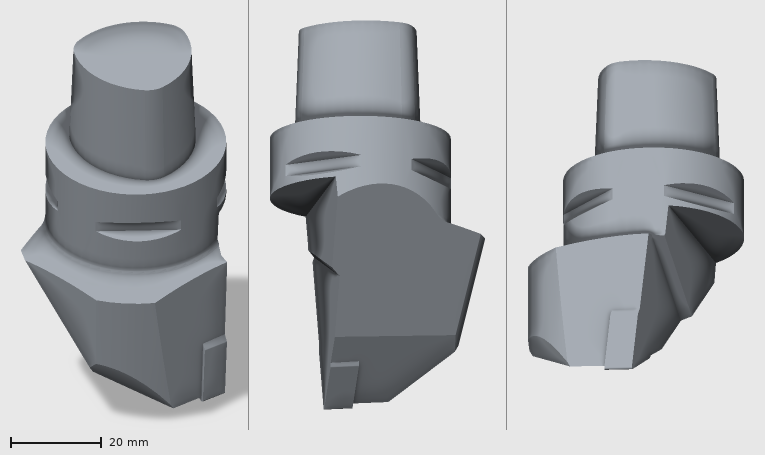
import cadquery as cq
import math


shank_height = 23.8
lobe_radius = 14.9
lobe_end_radius = 14.7
valley_radius = 13.1
lobe_half_angle = 8.5
shank_taper = 0.95

flange_radius = 20.0
flange_height = 20.0
neck_radius = 20.8
neck_z = -21.25
cone_slope = math.tan(math.radians(15))
head_radius = 28.75

groove_count = 4
groove_floor_distance = 17.6
groove_z = -10.2
groove_floor_half_height = 1.3
groove_mouth_half_height = 2.5

head_bottom_z = -59.25
front_y = -26.0
bevel_start_y = -24.0
back_point = (-flange_radius, 0, -15.25)
bevel_lean = 1.5
side_point = (24.6, 3.4, -22.3)
side_normal = (1, -0.1, 0.063)
flank_point = (8.2, 3.2, -43.45)
flank_normal = (-0.6, -0.03, -1)
facet_point = (12.2, front_y, -40.85)
facet_normal = (1, -2.1, -1)

tip = (27.0, -0.1, -55.5)
rake_normal = cq.Vector(0.12, 1, -0.093).normalized()
clearance_step = 1.9
clearance_top_z = -13.7
step_foot = (22.3, 3.8, -21.7)
step_angle = 23

insert_side = 15.4
insert_thickness = 6.4
insert_nose_angle = 55
insert_lower_edge_angle = 148
insert_corner_cut = 1.8
insert_nose_radius = 0.4

space = 237


def half_space(point, outward):
    """Block filling everything on the outward side of a plane."""
    plane = cq.Plane(origin=point, normal=outward)
    return cq.Workplane(plane).rect(space, space).extrude(space)


def polar(radius, angle):
    return (radius * math.cos(math.radians(angle)), radius * math.sin(math.radians(angle)))


def lobed_outline(workplane, inset):
    """Closed outline of three tight lobe arcs joined by three shallow arcs."""
    lobe = lobe_radius - inset
    lobe_end = lobe_end_radius - inset
    valley = valley_radius - inset
    outline = workplane.moveTo(*polar(lobe_end, 90 - lobe_half_angle))
    for peak in (90, 210, 330):
        next_start = polar(lobe_end, peak + 120 - lobe_half_angle)
        outline = outline.threePointArc(polar(lobe, peak), polar(lobe_end, peak + lobe_half_angle))
        outline = outline.threePointArc(polar(valley, peak + 60), next_start)
    return outline.close()


def make_shank():
    base = lobed_outline(cq.Workplane("XY"), 0)
    return lobed_outline(base.workplane(offset=shank_height), shank_taper).loft(ruled=True)


def make_turned_blank():
    """Flange, neck fillet, cone and head cylinder in one revolution."""
    cone_bottom_z = neck_z - (head_radius - neck_radius) * cone_slope
    profile = (
        cq.Workplane("XZ")
        .lineTo(flange_radius, 0)
        .lineTo(flange_radius, -flange_height)
        .tangentArcPoint((neck_radius, neck_z), relative=False)
        .lineTo(head_radius, cone_bottom_z)
        .lineTo(head_radius, head_bottom_z)
        .lineTo(0, head_bottom_z)
        .close()
    )
    return profile.revolve(360, (0, 0, 0), (0, 1, 0))


def make_groove():
    """Trapezoidal groove across the +X side of the flange."""
    widening = (groove_mouth_half_height - groove_floor_half_height) / (flange_radius - groove_floor_distance)
    mouth_half_height = groove_floor_half_height + widening * (head_radius - groove_floor_distance)
    return (
        cq.Workplane("XZ")
        .moveTo(groove_floor_distance, groove_z - groove_floor_half_height)
        .lineTo(head_radius, groove_z - mouth_half_height)
        .lineTo(head_radius, groove_z + mouth_half_height)
        .lineTo(groove_floor_distance, groove_z + groove_floor_half_height)
        .close()
        .extrude(flange_radius, both=True)
    )


def cut_head_faces(body):
    """Plane faces that shape the outside of the head."""
    bevel_point = (back_point[0], bevel_start_y, back_point[2])
    faces = [
        ((0, front_y, 0), (0, -1, 0)),
        (back_point, (-1, 0, -1)),
        (bevel_point, (-1, -bevel_lean, -1)),
        (side_point, side_normal),
        (flank_point, flank_normal),
        (facet_point, facet_normal),
    ]
    for point, outward in faces:
        body = body.cut(half_space(point, outward))
    return body


def cut_rake(body):
    """Rake face, the sloping step behind it and the chip clearance above the step."""
    clearance_point = cq.Vector(*tip) + rake_normal * clearance_step
    clearance = half_space(clearance_point, rake_normal)
    clearance = clearance.intersect(half_space((0, 0, clearance_top_z), (0, 0, -1)))

    across_x, across_z = polar(1, step_angle + 90)
    step_normal = rake_normal - cq.Vector(across_x, 0, across_z)
    rake = half_space(tip, rake_normal).intersect(half_space(step_foot, step_normal))
    return body.cut(clearance).cut(rake)


def make_insert():
    """Rhombic insert with blunt corners cut off, flush with the rake face, nose at the tip."""
    edge_x, edge_z = polar(1, insert_lower_edge_angle)
    edge_y = -(rake_normal.x * edge_x + rake_normal.z * edge_z) / rake_normal.y
    plane = cq.Plane(origin=tip, xDir=(edge_x, edge_y, edge_z), normal=rake_normal)
    cut_edge = insert_side - insert_corner_cut
    side = cq.Vector(*polar(insert_side, insert_nose_angle))
    cut_side = cq.Vector(*polar(cut_edge, insert_nose_angle))
    corner_offset = side - cut_side
    outline = [
        cq.Vector(0, 0),
        cq.Vector(cut_edge, 0),
        cq.Vector(insert_side, 0) + corner_offset,
        cq.Vector(insert_side, 0) + side,
        cq.Vector(insert_corner_cut, 0) + side,
        cut_side,
    ]
    blank = cq.Workplane(plane).polyline(outline).close().extrude(-insert_thickness)
    corners = blank.edges(cq.selectors.ParallelDirSelector(rake_normal))
    return corners.fillet(insert_nose_radius)


def make_holder(insert):
    body = cut_rake(cut_head_faces(make_turned_blank()))
    for index in range(groove_count):
        angle = (index + 0.5) * 360 / groove_count
        body = body.cut(make_groove().rotate((0, 0, 0), (0, 0, 1), angle))
    return body.union(make_shank()).cut(insert)


insert = make_insert()
holder = make_holder(insert)
result = cq.Compound.makeCompound([holder.val(), insert.val()])